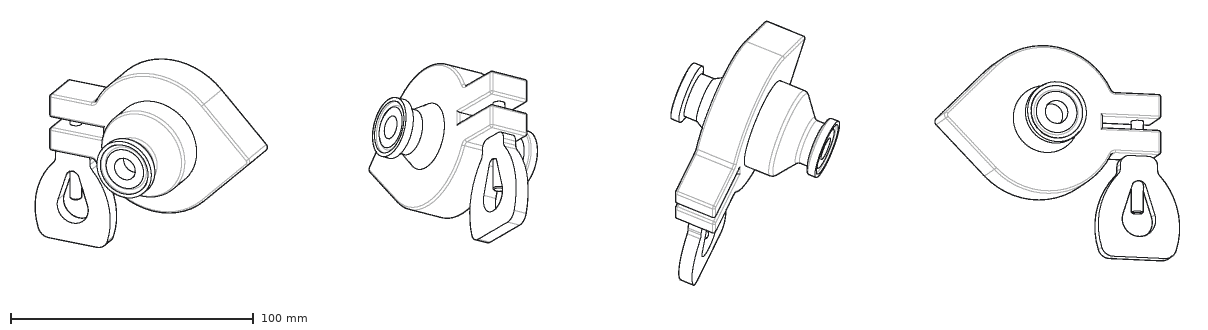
import cadquery as cq
import math


plate_thickness = 18.0
disc_radius = 30.9
tip_half_angle = 45
tip_radius = 1.8
arm_end_x = -48.9
arm_half_height = 12.6
arm_root_radius = 2.0
slot_height = 4.9
slot_end_x = -24.2
edge_radius = 0.9
arm_corner_radius = 1.0

pin_x = -41.0
pin_diameter = 5.0
pin_bottom_z = -36.0
pin_chamfer = 0.5

handle_thickness = 6.0
handle_bottom_z = -55.0
handle_half_width = 17.3
handle_widest_z = -41.9
handle_side_radius = 31.4
handle_neck_width = 15.9
handle_neck_corner_radius = 3.9
handle_neck_blend_radius = 3.0
handle_base_radius = 5.1
window_small_radius = 3.0
window_small_z = -25.9
window_large_radius = 7.1
window_large_z = -39.1

front_end_y = -38.0
rear_end_y = 27.0
neck_radius = 9.5
body_diameter = 38.0
body_shoulder_y = -21.0
front_cone_end_y = -28.7
front_cone_blend_radius = 2.0
rear_cone_radius = 14.0
rear_cone_end_y = 16.8
flange_diameter = 25.0
flange_rim_length = 3.6
flange_length = 4.7
flange_edge_radius = 0.7
bore_radius = 4.8
bore_depth = 9.1
groove_outer_radius = 10.9
groove_floor_radius = 9.4
groove_post_radius = 8.6
groove_depth = 1.6
groove_wall_depth = 0.9
post_recess = 0.7

selection_margin = 0.1


def extrude_across(profile, thickness):
    """Extrude an XZ profile symmetrically about Y = 0."""
    return profile.extrude(thickness / 2, both=True)


def clamp_plate():
    """Disc with a pointed nose and two slotted arms, with rounded face edges."""
    disc = extrude_across(cq.Workplane("XZ").circle(disc_radius), plate_thickness)

    angle = math.radians(tip_half_angle)
    tangent_x = disc_radius * math.sin(angle)
    tangent_z = disc_radius * math.cos(angle)
    tip_x = disc_radius / math.sin(angle)
    nose_points = [(0, 0), (tangent_x, tangent_z), (tip_x, 0), (tangent_x, -tangent_z)]
    nose = extrude_across(cq.Workplane("XZ").polyline(nose_points).close(), plate_thickness)
    nose = nose.edges("|Y and >X").fillet(tip_radius)

    arms = cq.Workplane("XY").box(-arm_end_x, plate_thickness, 2 * arm_half_height)
    arms = arms.translate((arm_end_x / 2, 0, 0))
    plate = disc.union(nose).union(arms)

    root_x = -math.sqrt(disc_radius**2 - arm_half_height**2)
    for z in (arm_half_height, -arm_half_height):
        root_edge = cq.selectors.NearestToPointSelector((root_x, 0, z))
        plate = plate.edges(root_edge).fillet(arm_root_radius)

    slot_length = slot_end_x - arm_end_x
    slot = cq.Workplane("XY").box(slot_length, plate_thickness, slot_height)
    plate = plate.cut(slot.translate((arm_end_x + slot_length / 2, 0, 0)))
    plate = plate.faces("<X").edges("|Y").fillet(arm_corner_radius)
    return plate.faces("<Y or >Y").edges().fillet(edge_radius)


def hinge_pin():
    """Pin from inside the upper arm down into the handle window."""
    length = arm_half_height / 2 - pin_bottom_z
    pin = cq.Workplane("XY").circle(pin_diameter / 2).extrude(length)
    pin = pin.faces("<Z").chamfer(pin_chamfer)
    return pin.translate((pin_x, 0, pin_bottom_z))


def handle_window():
    """Teardrop opening: two circles joined by their common tangents."""
    spacing = window_small_z - window_large_z
    sine = (window_large_radius - window_small_radius) / spacing
    cosine = math.sqrt(1 - sine**2)
    small_x = window_small_radius * cosine
    small_z = window_small_z + window_small_radius * sine
    large_x = window_large_radius * cosine
    large_z = window_large_z + window_large_radius * sine
    profile = (
        cq.Workplane("XZ")
        .moveTo(-small_x, small_z)
        .threePointArc((0, window_small_z + window_small_radius), (small_x, small_z))
        .lineTo(large_x, large_z)
        .threePointArc((0, window_large_z - window_large_radius), (-large_x, large_z))
        .close()
    )
    return extrude_across(profile, handle_thickness)


def handle():
    """Flat wing handle hanging below the lower arm."""

    def side_drop(half_width):
        """Height of the bulging side above its widest point at a half width."""
        inset = handle_half_width - half_width
        return math.sqrt(handle_side_radius**2 - (handle_side_radius - inset)**2)

    neck_x = handle_neck_width / 2
    top_z = -arm_half_height
    neck_z = handle_widest_z + side_drop(neck_x)
    base_drop = handle_widest_z - handle_bottom_z
    side_centre_x = handle_half_width - handle_side_radius
    base_x = side_centre_x + math.sqrt(handle_side_radius**2 - base_drop**2)
    profile = (
        cq.Workplane("XZ")
        .moveTo(-neck_x, top_z)
        .lineTo(neck_x, top_z)
        .lineTo(neck_x, neck_z)
        .threePointArc((handle_half_width, handle_widest_z), (base_x, handle_bottom_z))
        .lineTo(-base_x, handle_bottom_z)
        .threePointArc((-handle_half_width, handle_widest_z), (-neck_x, neck_z))
        .close()
    )
    wing = extrude_across(profile, handle_thickness)
    corners = (
        (neck_x, top_z, handle_neck_corner_radius),
        (neck_x, neck_z, handle_neck_blend_radius),
        (base_x, handle_bottom_z, handle_base_radius),
    )
    for x, z, radius in corners:
        for side in (-1, 1):
            corner_edge = cq.selectors.NearestToPointSelector((side * x, 0, z))
            wing = wing.edges(corner_edge).fillet(radius)
    return wing.cut(handle_window()).translate((pin_x, 0, 0))


def revolve_about_y(profile):
    """Revolve a closed (radius, Y) profile about the port axis."""
    return profile.close().revolve(360, (0, 0, 0), (0, 1, 0))


def circle_edge(radius, y):
    """Selector for the circular edge of a given radius at a given Y."""
    reach = radius + selection_margin
    return cq.selectors.BoxSelector(
        (-reach, y - selection_margin, -reach),
        (reach, y + selection_margin, reach),
        boundingbox=True,
    )


def ferrule_cutter(end_y, inward):
    """Gasket groove, recessed centre post face and blind bore of one ferrule."""

    def depth(distance):
        return end_y + inward * distance

    floor_width = groove_outer_radius - groove_floor_radius
    floor_drop = groove_depth - groove_wall_depth
    groove_arc_radius = (floor_width**2 + floor_drop**2) / (2 * floor_width)
    return revolve_about_y(
        cq.Workplane("XY")
        .moveTo(0, end_y)
        .lineTo(groove_outer_radius, end_y)
        .lineTo(groove_outer_radius, depth(groove_wall_depth))
        .radiusArc((groove_floor_radius, depth(groove_depth)), -inward * groove_arc_radius)
        .lineTo(groove_post_radius, depth(post_recess))
        .lineTo(bore_radius, depth(post_recess))
        .lineTo(bore_radius, depth(bore_depth))
        .lineTo(0, depth(bore_depth))
    )


def valve_body():
    """Turned body with a conical reducer and a clamp ferrule at each end."""
    body_radius = body_diameter / 2
    flange_radius = flange_diameter / 2
    front_rim_y = front_end_y + flange_rim_length
    rear_rim_y = rear_end_y - flange_rim_length
    body = revolve_about_y(
        cq.Workplane("XY")
        .moveTo(0, front_end_y)
        .lineTo(flange_radius, front_end_y)
        .lineTo(flange_radius, front_rim_y)
        .lineTo(neck_radius, front_end_y + flange_length)
        .lineTo(neck_radius, front_cone_end_y)
        .lineTo(body_radius, body_shoulder_y)
        .lineTo(body_radius, 0)
        .lineTo(rear_cone_radius, 0)
        .lineTo(rear_cone_radius, plate_thickness / 2)
        .lineTo(neck_radius, rear_cone_end_y)
        .lineTo(neck_radius, rear_end_y - flange_length)
        .lineTo(flange_radius, rear_rim_y)
        .lineTo(flange_radius, rear_end_y)
        .lineTo(0, rear_end_y)
    )
    body = body.edges(circle_edge(flange_radius, front_rim_y)).fillet(flange_edge_radius)
    for radius, y in ((neck_radius, front_cone_end_y), (body_radius, body_shoulder_y)):
        body = body.edges(circle_edge(radius, y)).fillet(front_cone_blend_radius)
    return body.cut(ferrule_cutter(front_end_y, 1)).cut(ferrule_cutter(rear_end_y, -1))


result = clamp_plate().union(hinge_pin()).union(handle()).union(valve_body())